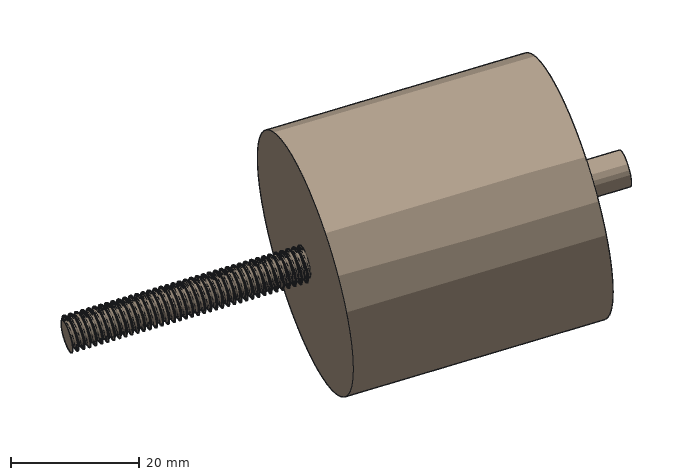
import cadquery as cq
import math

body_diameter = 43.4
overall_length = 92.7
stud_length = 39.7
pin_length = 9.9
body_length = overall_length - stud_length - pin_length
stud_diameter = 6.0
pin_diameter = stud_diameter
root_diameter = 4.7
pitch = 1.0
crest_width = pitch / 8
root_width = pitch / 4
thread_start_angle = 20.0
flank_points = 12


def cylinder_along_y(diameter, start, length):
    """Solid cylinder on the Y axis, growing in +Y from start."""
    plane = cq.Plane(origin=(0, start, 0), xDir=(1, 0, 0), normal=(0, 1, 0))
    return cq.Workplane(plane).circle(diameter / 2).extrude(length)


def thread_section():
    """Slice across the thread: root arc, rising flank spiral, crest arc, falling flank spiral."""
    root_radius = root_diameter / 2
    crest_radius = stud_diameter / 2
    half_crest = math.pi * crest_width / pitch
    half_root = math.pi * root_width / pitch
    flank_angle = math.pi - half_crest - half_root

    def polar(radius, angle):
        return (radius * math.cos(angle), radius * math.sin(angle))

    def rising_flank(t):
        radius = root_radius + t * (crest_radius - root_radius)
        return polar(radius, half_root - math.pi + t * flank_angle)

    def falling_flank(t):
        radius = crest_radius + t * (root_radius - crest_radius)
        return polar(radius, half_crest + t * flank_angle)

    return (
        cq.Workplane("XY")
        .moveTo(*rising_flank(0))
        .parametricCurve(rising_flank, N=flank_points, makeWire=False)
        .moveTo(*rising_flank(1))
        .threePointArc(polar(crest_radius, 0), falling_flank(0))
        .parametricCurve(falling_flank, N=flank_points, makeWire=False)
        .moveTo(*falling_flank(1))
        .threePointArc(polar(root_radius, math.pi), rising_flank(0))
        .wire()
    )


def threaded_stud():
    """Right-handed thread: its section twisted through equal slabs of about one turn, sewn into one skin."""
    slab_count = math.ceil(stud_length / pitch)
    slab_length = stud_length / slab_count
    slab_twist = 360 * slab_length / pitch
    slab = thread_section().twistExtrude(slab_length, slab_twist)
    flanks = slab.faces("not |Z").vals()
    free_end = slab.faces("<Z").val()
    body_end = slab.faces(">Z").val()

    def placed(face, index):
        turned = face.rotate(cq.Vector(0, 0, 0), cq.Vector(0, 0, 1), index * slab_twist)
        return turned.translate(cq.Vector(0, 0, index * slab_length))

    skin = [placed(face, index) for index in range(slab_count) for face in flanks]
    skin += [free_end, placed(body_end, slab_count - 1)]
    thread = cq.Solid.makeSolid(cq.Shell.makeShell(skin))
    return (
        cq.Workplane(obj=thread)
        .rotate((0, 0, 0), (0, 0, 1), thread_start_angle)
        .rotate((0, 0, 0), (1, 0, 0), -90)
        .translate((0, -stud_length, 0))
    )


body = cylinder_along_y(body_diameter, 0, body_length)
pin = cylinder_along_y(pin_diameter, body_length, pin_length)
result = body.union(pin).union(threaded_stud())